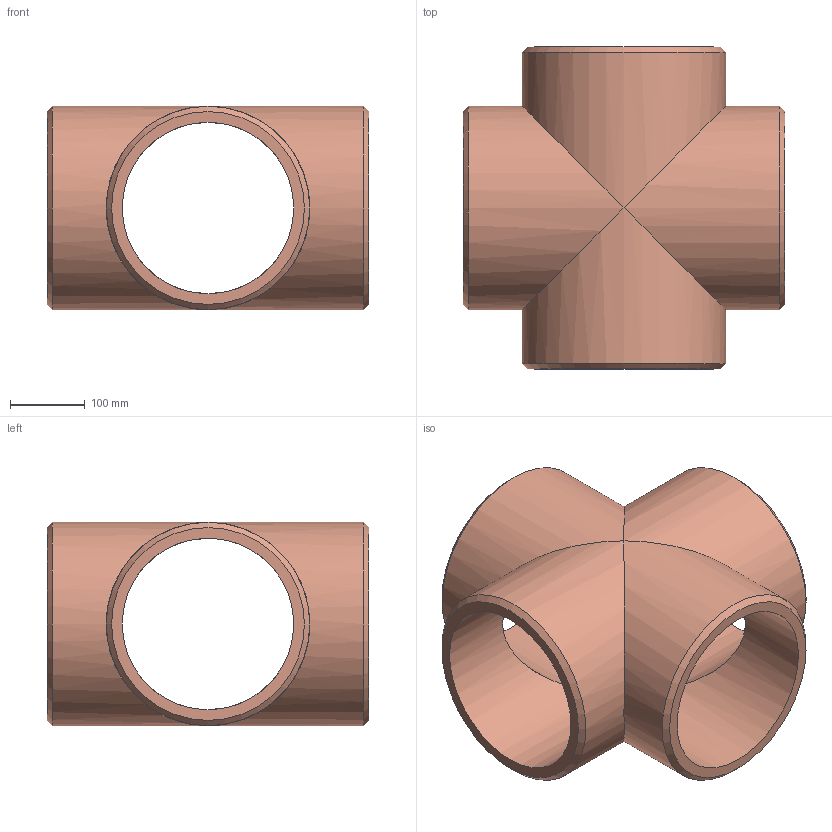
import cadquery as cq

overall_length = 431.8
outer_diameter = 273.05
wall_thickness = 21.44

bore_diameter = outer_diameter - 2 * wall_thickness
end_chamfer = wall_thickness / 3

run_planes = ("YZ", "XZ")


def centred_cylinder(plane, diameter):
    """Cylinder of the full fitting length, centred on the origin along the plane normal."""
    return cq.Workplane(plane).circle(diameter / 2).extrude(overall_length / 2, both=True)


def outer_run(plane):
    """Solid pipe envelope with both end rims chamfered."""
    return centred_cylinder(plane, outer_diameter).edges("%CIRCLE").chamfer(end_chamfer)


def pipe_cross():
    """Join the pipe envelopes, then bore both runs right through."""
    body = cq.Workplane("XY")
    for plane in run_planes:
        body = body.add(outer_run(plane))
    body = body.combine()
    for plane in run_planes:
        body = body.cut(centred_cylinder(plane, bore_diameter))
    return body


result = pipe_cross()